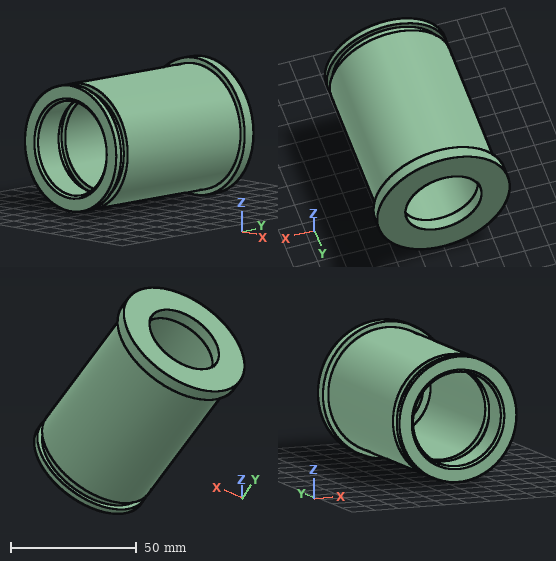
import cadquery as cq

length = 75.85
flange_diameter = 55.37
flange_thickness = 5.1
body_diameter = 50.8

outer_groove_start = 2.7
outer_groove_width = 3.8
outer_groove_diameter = 46.5

bore_diameter = 38.1
rear_opening_diameter = 31.75
bore_depth = length - flange_thickness
entry_chamfer = 1.05

inner_groove_start = 12.7
inner_groove_width = 3.8
inner_groove_diameter = 42.2


def cylinder(diameter, start, end):
    """Solid cylinder about the Y axis from Y = start to Y = end."""
    disc = cq.Workplane("XZ", origin=(0, start, 0)).circle(diameter / 2)
    return disc.extrude(start - end)


def outer_body():
    """Plain body with the flange at its rear end."""
    body = cylinder(body_diameter, 0, length)
    flange = cylinder(flange_diameter, length - flange_thickness, length)
    return body.union(flange)


def outer_groove():
    """Ring of material removed around the outside of the body."""
    end = outer_groove_start + outer_groove_width
    ring = cylinder(body_diameter, outer_groove_start, end)
    return ring.cut(cylinder(outer_groove_diameter, outer_groove_start, end))


def entry_cone():
    """Cone tapering at 45 degrees from the front face down to the bore."""
    bore_radius = bore_diameter / 2
    half_section = [
        (0, 0),
        (bore_radius + entry_chamfer, 0),
        (bore_radius, entry_chamfer),
        (0, entry_chamfer),
    ]
    profile = cq.Workplane("XY").polyline(half_section).close()
    return profile.revolve(360, (0, 0, 0), (0, 1, 0))


def bore():
    """Stepped bore with its entry chamfer and inner groove, as a solid to remove."""
    main_bore = cylinder(bore_diameter, 0, bore_depth)
    rear_opening = cylinder(rear_opening_diameter, 0, length)
    inner_groove = cylinder(
        inner_groove_diameter, inner_groove_start, inner_groove_start + inner_groove_width
    )
    return main_bore.union(rear_opening).union(inner_groove).union(entry_cone())


result = outer_body().cut(outer_groove()).cut(bore())